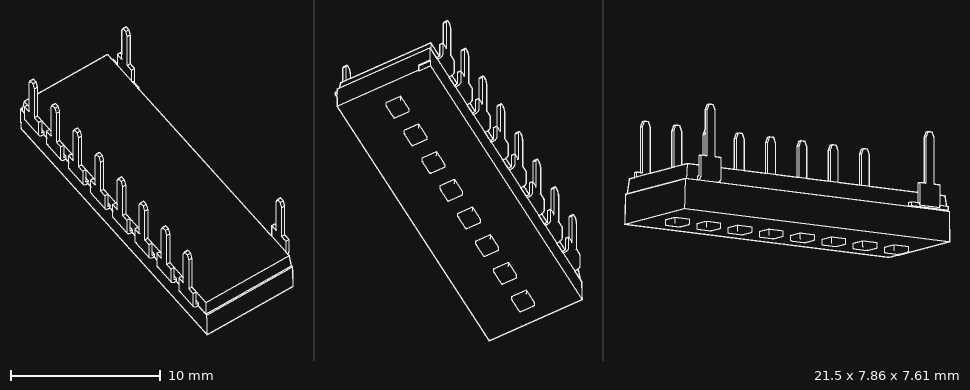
import cadquery as cq


overall_length = 21.48
row_span = 7.86
pin_top = 7.22

base_width = 7.05
base_height = 2.06
base_drafts = (0.01, 0.06)
end_band_height = 0.6

recess_depth = 0.075
recess_width = 0.88

cover_top = 3.11
cover_break = 2.73
cover_foot_inset = 0.17
cover_break_inset = 0.25
cover_top_inset = 0.3
cover_foot_width = 7.0
cover_top_width = 6.83

position_count = 8
pitch = 2.53
sheet = 0.25
bend_outer_radius = 0.32
pin_foot_width = 1.63
shoulder_height = 3.7
pin_width = 0.65
tip_width = 0.32
tip_start = 6.83

tab_length = 2.99
tab_start = -10.4
tab_reach = 3.85
tab_overlap = 0.02

button_length = 1.15
button_width = 1.12
button_offset = -0.05
button_drop = 0.39
button_edge = 0.06

half_length = overall_length / 2
half_row = row_span / 2
positions = [(i - (position_count - 1) / 2) * pitch for i in range(position_count)]


def make_base():
    """Drafted base block with the corner recess in its -X end."""
    left_draft, right_draft = base_drafts
    outline = [
        (-half_length, 0),
        (half_length, 0),
        (half_length - right_draft, base_height),
        (-half_length + left_draft, base_height),
        (-half_length, end_band_height),
    ]
    base = cq.Workplane("XZ").polyline(outline).close().extrude(base_width / 2, both=True)
    recess = cq.Workplane("XY").box(
        recess_depth, recess_width, end_band_height, centered=False
    ).translate((-half_length, -base_width / 2, 0))
    return base.cut(recess)


def make_cover():
    """Cover: the end profile and the side profile, each extruded and intersected."""
    end_steps = [
        (half_length - cover_foot_inset, base_height),
        (half_length - cover_break_inset, cover_break),
        (half_length - cover_top_inset, cover_top),
    ]
    end_outline = end_steps + [(-x, z) for x, z in reversed(end_steps)]
    side_outline = [
        (-cover_foot_width / 2, base_height),
        (cover_foot_width / 2, base_height),
        (cover_top_width / 2, cover_top),
        (-cover_top_width / 2, cover_top),
    ]
    long_prism = cq.Workplane("XZ").polyline(end_outline).close().extrude(base_width / 2, both=True)
    cross_prism = cq.Workplane("YZ").polyline(side_outline).close().extrude(half_length, both=True)
    return long_prism.intersect(cross_prism)


def make_pin():
    """One pin of the -Y row at X = 0: bent sheet trimmed to the stepped, pointed front outline."""
    root_y = -cover_top_width / 2
    sheet_bend = (
        cq.Workplane("YZ")
        .moveTo(root_y, base_height)
        .lineTo(-half_row + bend_outer_radius, base_height)
        .radiusArc((-half_row, base_height + bend_outer_radius), bend_outer_radius)
        .lineTo(-half_row, pin_top)
        .lineTo(-half_row + sheet, pin_top)
        .lineTo(-half_row + sheet, base_height + bend_outer_radius)
        .radiusArc((-half_row + bend_outer_radius, base_height + sheet), sheet - bend_outer_radius)
        .lineTo(root_y, base_height + sheet)
        .close()
        .extrude(pin_foot_width / 2, both=True)
    )
    right_edge = [
        (pin_foot_width / 2, base_height),
        (pin_foot_width / 2, shoulder_height),
        (pin_width / 2, shoulder_height),
        (pin_width / 2, tip_start),
        (tip_width / 2, pin_top),
    ]
    outline = right_edge + [(-x, z) for x, z in reversed(right_edge)]
    trim = cq.Workplane("XZ").polyline(outline).close().extrude(row_span, both=True)
    return sheet_bend.intersect(trim)


def make_tab():
    """Flat tab crossing the first +Y pin foot, its inner edge resting on the rim of the base."""
    root_y = base_width / 2 - tab_overlap
    return cq.Workplane("XY").box(
        tab_length, tab_reach - root_y, sheet, centered=False
    ).translate((tab_start, root_y, base_height))


def make_button():
    """One button at X = 0 with softened lower edges."""
    return (
        cq.Workplane("XY")
        .box(button_length, button_width, button_drop, centered=(True, True, False))
        .translate((0, button_offset, -button_drop))
        .faces("<Z")
        .edges()
        .fillet(button_edge)
    )


front_pin = make_pin()
back_pin = front_pin.mirror("XZ")
button = make_button()

result = make_base().union(make_cover()).union(make_tab())
for x in positions:
    result = result.union(front_pin.translate((x, 0, 0)))
    result = result.union(button.translate((x, 0, 0)))
for x in (positions[0], positions[-1]):
    result = result.union(back_pin.translate((x, 0, 0)))